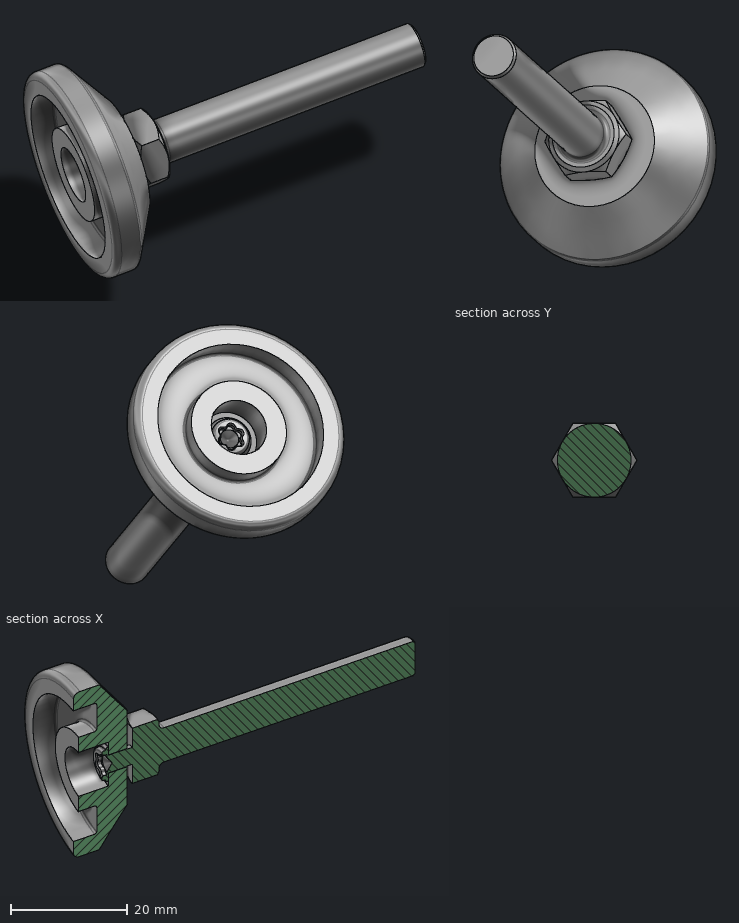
import cadquery as cq
import math

total_length = 66.5

pad_diameter = 38.0
pad_radius = pad_diameter / 2
pad_height = 10.5
pad_top_radius = 10.85
cone_base_height = 5.05
shoulder_fillet = 0.45
rim_fillet = 1.25

pocket_radius = 14.95
pocket_depth = 4.5
pocket_fillet = 0.4
boss_radius = 8.6
boss_recess = 1.0
cavity_radius = 5.0
cavity_floor = 6.8

washer_diameter = 7.9
washer_height = 0.5
head_diameter = 6.85
head_height = 0.7
head_edge_fillet = 0.45
head_bottom = cavity_floor - washer_height - head_height
neck_radius = 2.0
hex_sides = 6
hex_bottom = 11.45
hex_height = 5.0
hex_across_flats = 12.8
hex_chamfer_height = 0.85
cap_height = 0.3
cap_top_radius = 5.6
shank_radius = 4.0
shank_chamfer = 0.4
shank_fillet = 0.85

socket_depth = 1.0
socket_flare = 0.25
lobe_count = 6
lobe_tip_radius = 2.25
lobe_root_radius = 1.9
lobe_half_angle = 19.0
valley_radius = 1.7
drill_radius = 1.65
drill_point_depth = 1.0


def turned(profile):
    """Revolve a closed (radius, height) outline about the Y axis."""
    return profile.close().revolve(360, (0, 0, 0), (0, 1, 0))


def disc(radius, bottom, height):
    """Solid cylinder standing on the Y axis."""
    face = cq.Workplane("XZ", origin=(0, bottom, 0)).circle(radius)
    return face.extrude(-height)


def ring_edges(radius, height):
    """Selector for the circular edges at the given radius and height."""
    margin = 0.005
    low = (-radius - margin, height - margin, -radius - margin)
    high = (radius + margin, height + margin, radius + margin)
    return cq.selectors.BoxSelector(low, high, boundingbox=True)


def make_pad():
    pad = turned(
        cq.Workplane("XY")
        .moveTo(0, 0)
        .lineTo(pad_radius, 0)
        .lineTo(pad_radius, cone_base_height)
        .lineTo(pad_top_radius, pad_height)
        .lineTo(0, pad_height)
    )
    pad = pad.edges(ring_edges(pad_radius, 0)).fillet(rim_fillet)
    pad = pad.edges(ring_edges(pad_radius, cone_base_height)).fillet(shoulder_fillet)

    boss = disc(boss_radius, boss_recess, pocket_depth - boss_recess)
    pocket = disc(pocket_radius, 0, pocket_depth).cut(boss)
    pocket = pocket.faces(">Y").edges().fillet(pocket_fillet)
    cavity = disc(cavity_radius, 0, cavity_floor)
    neck_hole = disc(neck_radius, 0, pad_height)
    return pad.cut(pocket).cut(cavity).cut(neck_hole)


def make_hexagon():
    corner_radius = hex_across_flats / 2 / math.cos(math.pi / hex_sides)
    face_radius = hex_across_flats / 2
    hex_top = hex_bottom + hex_height
    hexagon = (
        cq.Workplane("XZ", origin=(0, hex_bottom, 0))
        .polygon(hex_sides, 2 * corner_radius)
        .extrude(-hex_height)
    )
    chamfer_envelope = turned(
        cq.Workplane("XY")
        .moveTo(0, hex_bottom)
        .lineTo(face_radius, hex_bottom)
        .lineTo(corner_radius, hex_bottom + hex_chamfer_height)
        .lineTo(corner_radius, hex_top - hex_chamfer_height)
        .lineTo(face_radius, hex_top)
        .lineTo(0, hex_top)
    )
    return hexagon.intersect(chamfer_envelope)


def polar_point(radius, degrees):
    """Point in the socket outline at a distance and direction from the axis."""
    angle = math.radians(degrees)
    return (radius * math.cos(angle), radius * math.sin(angle))


def lobed_outline(height, growth):
    """Closed six-lobed outline whose radii are all enlarged by the growth."""
    pitch = 360 / lobe_count
    middle = pitch / 2
    tip = lobe_tip_radius + growth
    root = lobe_root_radius + growth
    valley = valley_radius + growth
    outline = cq.Workplane("XZ", origin=(0, height, 0))
    outline = outline.moveTo(*polar_point(root, middle - lobe_half_angle))
    for index in range(lobe_count):
        lobe_angle = middle + pitch * index
        lobe_end = lobe_angle + lobe_half_angle
        next_lobe_start = lobe_angle + pitch - lobe_half_angle
        outline = outline.threePointArc(polar_point(tip, lobe_angle), polar_point(root, lobe_end))
        outline = outline.threePointArc(
            polar_point(valley, lobe_angle + middle), polar_point(root, next_lobe_start)
        )
    return outline.close()


def make_socket():
    """Six-lobed recess with a flared mouth and a conical drill point."""
    floor = head_bottom + socket_depth
    recess = lobed_outline(head_bottom, 0).extrude(-socket_depth)
    mouth_wire = lobed_outline(head_bottom, socket_flare).val()
    inner_wire = lobed_outline(head_bottom + socket_flare, 0).val()
    mouth = cq.Workplane(cq.Solid.makeLoft([mouth_wire, inner_wire], True))
    drill_point = turned(
        cq.Workplane("XY")
        .moveTo(0, floor)
        .lineTo(drill_radius, floor)
        .lineTo(0, floor + drill_point_depth)
    )
    return recess.union(mouth).union(drill_point)


def make_stud():
    hex_top = hex_bottom + hex_height
    cap_top = hex_top + cap_height

    washer = disc(washer_diameter / 2, cavity_floor - washer_height, washer_height)
    washer = washer.faces("<Y").edges().fillet(head_edge_fillet)
    head = disc(head_diameter / 2, head_bottom, head_height)
    head = head.faces("<Y").edges().fillet(head_edge_fillet)
    neck = disc(neck_radius, cavity_floor, hex_bottom - cavity_floor)
    upper = turned(
        cq.Workplane("XY")
        .moveTo(0, hex_top)
        .lineTo(hex_across_flats / 2, hex_top)
        .lineTo(cap_top_radius, cap_top)
        .lineTo(shank_radius, cap_top)
        .lineTo(shank_radius, total_length - shank_chamfer)
        .lineTo(shank_radius - shank_chamfer, total_length)
        .lineTo(0, total_length)
    )
    upper = upper.edges(ring_edges(shank_radius, cap_top)).fillet(shank_fillet)
    body = washer.union(head).union(neck).union(make_hexagon()).union(upper)
    return body.cut(make_socket())


pad = make_pad()
stud = make_stud()
result = cq.Compound.makeCompound([pad.solids().val(), stud.solids().val()])